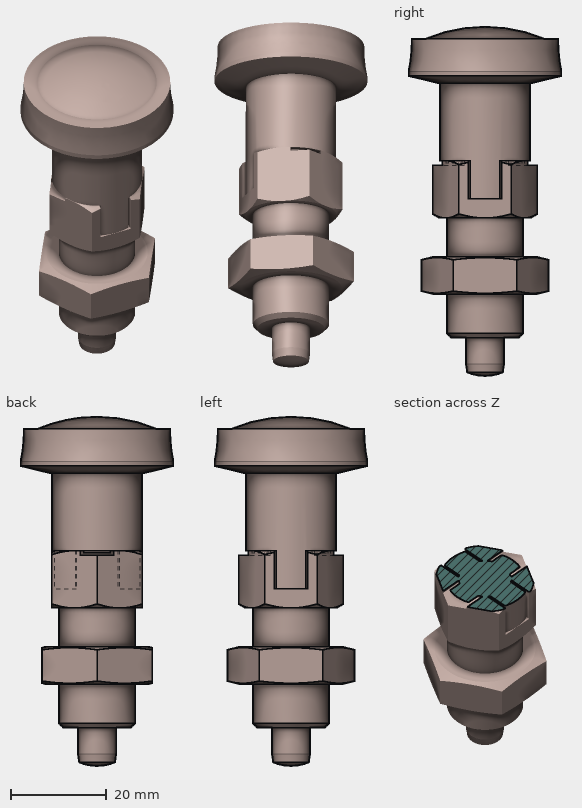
import cadquery as cq
import math

total_height = 73.0
pin_dome_height = 0.8
pin_taper_top = 2.55
body_bottom = 8.0
nut_bottom = 17.1
nut_top = 25.0
collar_bottom = 33.1
deep_slot_floor = 37.0
shallow_slot_floor = 44.1
collar_top = 45.0
knob_bottom = 61.2
rim_bottom = 62.7
rim_band_top = 63.65
rim_waist = 67.0
rim_top = 70.45

pin_diameter = 8.0
pin_tip_diameter = 7.5
body_diameter = 16.0
sleeve_diameter = 18.9
knob_diameter = 32.0
knob_neck_diameter = 19.4
rim_waist_diameter = 30.95
rim_top_diameter = 30.65
dome_diameter = 25.0
core_diameter = 11.1
lug_diameter = 16.35

body_chamfer = 0.95
collar_flats = 19.0
collar_face_diameter = 19.1
collar_chamfer_angle = 30.0
nut_flats = 23.1
nut_face_diameter = 21.2
nut_chamfer_angle = 14.0
slot_width = 6.9
tongue_width = 6.2
lug_width = 5.5
lug_depth = 0.45


def cylinder(diameter, bottom, top):
    return cq.Workplane("XY").workplane(offset=bottom).circle(diameter / 2).extrude(top - bottom)


def bar(length, width, bottom, top):
    return cq.Workplane("XY").workplane(offset=bottom).rect(length, width).extrude(top - bottom)


def revolve_about_axis(profile):
    return profile.close().revolve(360, (0, 0, 0), (0, 1, 0))


def chamfered_hexagon(flats, bottom, top, face_diameter, angle):
    """Hexagon with flats facing +X and -X, its corners turned off by cones at both ends."""
    corner_diameter = flats / math.cos(math.radians(30))
    face_radius = face_diameter / 2
    corner_radius = corner_diameter / 2
    drop = (corner_radius - face_radius) * math.tan(math.radians(angle))
    prism = (
        cq.Workplane("XY").workplane(offset=bottom)
        .transformed(rotate=(0, 0, 90))
        .polygon(6, corner_diameter).extrude(top - bottom)
    )
    envelope = revolve_about_axis(
        cq.Workplane("XZ")
        .moveTo(0, bottom)
        .lineTo(face_radius, bottom)
        .lineTo(corner_radius, bottom + drop)
        .lineTo(corner_radius, top - drop)
        .lineTo(face_radius, top)
        .lineTo(0, top)
    )
    return prism.intersect(envelope)


def make_pin():
    """Locking pin with a tapered end and a domed tip."""
    radius = pin_diameter / 2
    tip_radius = pin_tip_diameter / 2
    sphere_radius = (tip_radius**2 + pin_dome_height**2) / (2 * pin_dome_height)
    half_angle = math.asin(tip_radius / sphere_radius) / 2
    dome_middle = (sphere_radius * math.sin(half_angle), sphere_radius * (1 - math.cos(half_angle)))
    return revolve_about_axis(
        cq.Workplane("XZ")
        .moveTo(0, 0)
        .threePointArc(dome_middle, (tip_radius, pin_dome_height))
        .lineTo(radius, pin_taper_top)
        .lineTo(radius, body_bottom)
        .lineTo(0, body_bottom)
    )


def make_body():
    """Cylindrical body with a chamfered lower end."""
    return cylinder(body_diameter, body_bottom, collar_bottom).faces("<Z").chamfer(body_chamfer)


def make_collar():
    """Hexagonal collar with deep slots along X and shallow slots along Y around a solid core."""
    collar = chamfered_hexagon(
        collar_flats, collar_bottom, collar_top, collar_face_diameter, collar_chamfer_angle
    )
    slots = bar(knob_diameter, slot_width, deep_slot_floor, collar_top).union(
        bar(slot_width, knob_diameter, shallow_slot_floor, collar_top)
    )
    core = cylinder(core_diameter, collar_bottom, collar_top)
    return collar.cut(slots).union(core)


def make_sleeve():
    """Pull sleeve with two long tongues along X and two short lugs along Y."""
    sleeve = cylinder(sleeve_diameter, collar_top, knob_bottom)
    tongues = cylinder(sleeve_diameter, deep_slot_floor, collar_top).intersect(
        bar(knob_diameter, tongue_width, deep_slot_floor, collar_top)
    )
    lug_bottom = collar_top - lug_depth
    lugs = cylinder(lug_diameter, lug_bottom, collar_top).intersect(
        bar(lug_width, knob_diameter, lug_bottom, collar_top)
    )
    return sleeve.union(tongues).union(lugs)


def make_knob():
    """Knob with a conical underside, a flared concave rim and a spherical dome."""
    dome_radius = dome_diameter / 2
    dome_height = total_height - rim_top
    sphere_radius = (dome_radius**2 + dome_height**2) / (2 * dome_height)
    half_angle = math.asin(dome_radius / sphere_radius) / 2
    dome_middle = (
        sphere_radius * math.sin(half_angle),
        total_height - sphere_radius * (1 - math.cos(half_angle)),
    )
    return revolve_about_axis(
        cq.Workplane("XZ")
        .moveTo(0, knob_bottom)
        .lineTo(knob_neck_diameter / 2, knob_bottom)
        .lineTo(knob_diameter / 2, rim_bottom)
        .lineTo(knob_diameter / 2, rim_band_top)
        .threePointArc((rim_waist_diameter / 2, rim_waist), (rim_top_diameter / 2, rim_top))
        .lineTo(dome_radius, rim_top)
        .threePointArc(dome_middle, (0, total_height))
    )


nut = chamfered_hexagon(nut_flats, nut_bottom, nut_top, nut_face_diameter, nut_chamfer_angle)
result = make_pin().union(make_body()).union(nut).union(make_collar()).union(make_sleeve()).union(make_knob())